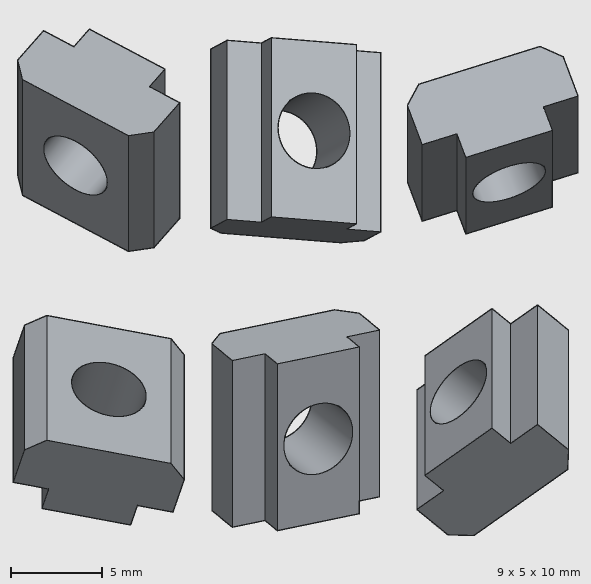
import cadquery as cq

body_width = 9.0
nut_depth = 5.0
nut_length = 10.0

neck_width = 5.0
neck_depth = 1.5
chamfer_size = 1.0
hole_diameter = 4.2

body_depth = nut_depth - neck_depth


def make_body():
    """Wide part of the nut, with its two front (-Y) long edges chamfered."""
    body = cq.Workplane("XY").box(body_width, body_depth, nut_length, centered=(True, False, True))
    return body.faces("<Y").edges("|Z").chamfer(chamfer_size)


def make_neck():
    """Narrow rib along the back (+Y) of the body."""
    neck = cq.Workplane("XY").box(neck_width, neck_depth, nut_length, centered=(True, False, True))
    return neck.translate((0, body_depth, 0))


def make_hole():
    """Round bore through the full depth of the nut, along Y."""
    return cq.Workplane("XZ").circle(hole_diameter / 2).extrude(-nut_depth)


result = make_body().union(make_neck()).cut(make_hole())